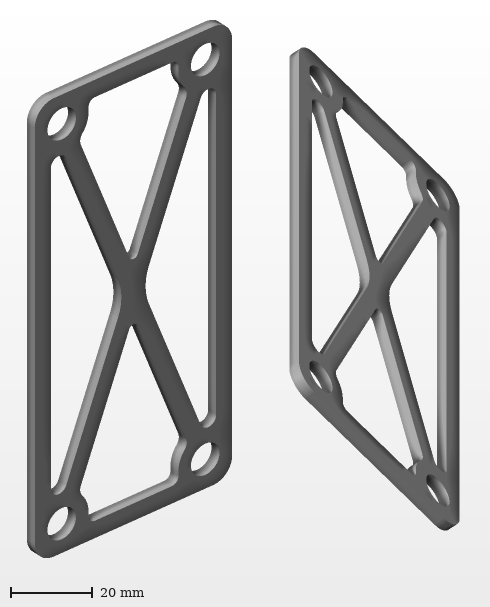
import cadquery as cq
import math

thickness = 3.0
width = 62.5
height = 133.0
corner_radius = 6.0

hole_diameter = 9.0
hole_inset = 8.5
hole_y = width / 2 - hole_inset
hole_z = height / 2 - hole_inset

rail_width = 5.0
boss_radius = 8.5
strut_width = 5.0
strut_angle = math.atan2(hole_z, hole_y)

end_corner_radius = 2.0
boss_corner_radius = 3.0
crotch_radius = 1.5
side_tip_radius = 2.5
waist_radius = 15.0


def profile_plane():
    """Workplane on the -X face; everything is extruded from here to the +X face."""
    return cq.Workplane("YZ", origin=(-thickness / 2, 0, 0))


def point_on_boss(angle):
    """Point on the upper +Y boss circle, angle measured from +Y."""
    return (
        hole_y + boss_radius * math.cos(angle),
        hole_z + boss_radius * math.sin(angle),
    )


def mirrored(point):
    return (-point[0], point[1])


def round_corners(window, points, radius):
    """Fillet the through-thickness edges standing at the given (y, z) points."""
    reach = 0.1
    for y, z in points:
        corner = cq.selectors.BoxSelector(
            (-thickness, y - reach, z - reach),
            (thickness, y + reach, z + reach),
        )
        window = window.edges("|X").edges(corner).fillet(radius)
    return window


def make_plate():
    plate = profile_plane().rect(width, height).extrude(thickness)
    plate = plate.edges("|X").fillet(corner_radius)
    holes = (
        profile_plane()
        .rect(2 * hole_y, 2 * hole_z, forConstruction=True)
        .vertices()
        .circle(hole_diameter / 2)
        .extrude(thickness)
    )
    return plate.cut(holes)


def make_end_window():
    """Upper window: a V between the struts that skirts the two bosses."""
    crotch = (0, strut_width / 2 / math.cos(strut_angle))
    meeting_angle = math.pi + strut_angle - math.asin(strut_width / 2 / boss_radius)
    strut_end = point_on_boss(meeting_angle)
    boss_middle = point_on_boss((meeting_angle + math.pi) / 2)
    boss_side = point_on_boss(math.pi)
    end_corner = (boss_side[0], height / 2 - rail_width)

    window = (
        profile_plane()
        .moveTo(*crotch)
        .lineTo(*strut_end)
        .threePointArc(boss_middle, boss_side)
        .lineTo(*end_corner)
        .lineTo(*mirrored(end_corner))
        .lineTo(*mirrored(boss_side))
        .threePointArc(mirrored(boss_middle), mirrored(strut_end))
        .close()
        .extrude(thickness)
    )
    window = round_corners(window, [crotch], crotch_radius)
    window = round_corners(window, [strut_end, mirrored(strut_end)], boss_corner_radius)
    return round_corners(window, [end_corner, mirrored(end_corner)], end_corner_radius)


def make_side_window():
    """Triangular window between the +Y rail and the struts."""
    waist = (strut_width / 2 / math.sin(strut_angle), 0)
    rail_y = width / 2 - rail_width
    tip_z = (rail_y - waist[0]) * math.tan(strut_angle)
    tips = [(rail_y, tip_z), (rail_y, -tip_z)]

    window = profile_plane().polyline([waist] + tips).close().extrude(thickness)
    window = round_corners(window, tips, side_tip_radius)
    return round_corners(window, [waist], waist_radius)


end_window = make_end_window()
side_window = make_side_window()

result = (
    make_plate()
    .cut(end_window)
    .cut(end_window.mirror("XY"))
    .cut(side_window)
    .cut(side_window.mirror("XZ"))
)